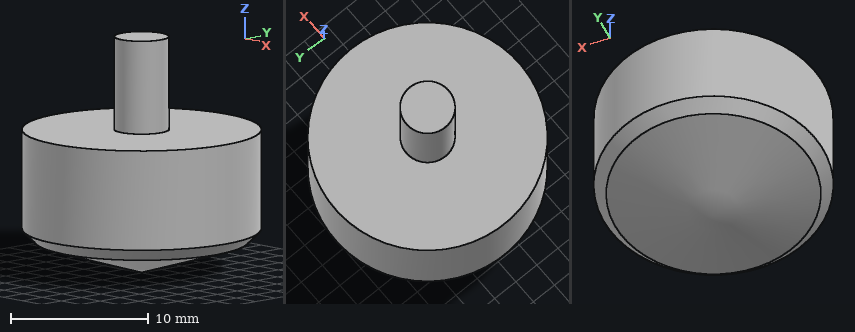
import cadquery as cq

total_height = 17.5
body_diameter = 17.46
pin_diameter = 4.0
pin_height = 6.88
chamfer_size = 0.91
tip_height = 2.36

chamfer_top = tip_height + chamfer_size
body_top = total_height - pin_height

body_radius = body_diameter / 2
pin_radius = pin_diameter / 2
cone_radius = body_radius - chamfer_size

half_section = (
    cq.Workplane("XZ")
    .moveTo(0, 0)
    .lineTo(cone_radius, tip_height)
    .lineTo(body_radius, chamfer_top)
    .lineTo(body_radius, body_top)
    .lineTo(pin_radius, body_top)
    .lineTo(pin_radius, total_height)
    .lineTo(0, total_height)
    .close()
)

result = half_section.revolve(360, (0, 0, 0), (0, 1, 0))